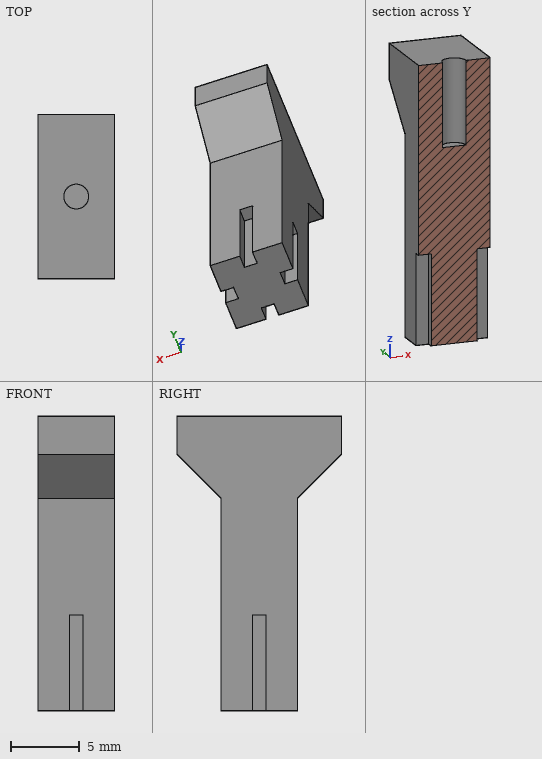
import cadquery as cq

height = 21.5
stem_width = 5.6
head_length = 12.0
head_thickness = 2.8

hole_diameter = 1.8
hole_depth = 6.45

slot_width = 0.99
slot_height = 7.0
slot_depth = slot_width

half_stem = stem_width / 2
half_head = head_length / 2
head_bottom = height - head_thickness
flare_bottom = head_bottom - (half_head - half_stem)


def make_body():
    """T-shaped profile in the YZ plane, extruded symmetrically along X."""
    half_profile = [
        (0, 0),
        (half_stem, 0),
        (half_stem, flare_bottom),
        (half_head, head_bottom),
        (half_head, height),
        (0, height),
    ]
    return cq.Workplane("YZ").polyline(half_profile).mirrorY().extrude(half_stem, both=True)


def make_slot(angle):
    """Blind slot cut into one stem face, open at the foot."""
    slot = cq.Workplane("XY").box(slot_depth, slot_width, slot_height, centered=(False, True, False))
    return slot.translate((half_stem - slot_depth, 0, 0)).rotate((0, 0, 0), (0, 0, 1), angle)


result = make_body()
for angle in (0, 90, 180, 270):
    result = result.cut(make_slot(angle))

result = result.faces(">Z").workplane(origin=(0, 0, height)).hole(hole_diameter, hole_depth)